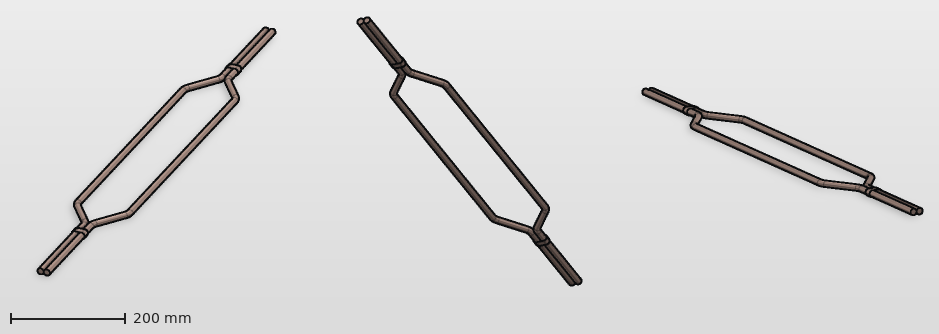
import cadquery as cq
import math

total_length = 1000.0
outer_width = 110.0
rod_diameter = 12.0
inner_bend_y = 300.0
outer_bend_y = 239.0
bend_radius = 20.0

clip_wall = 1.0
clip_length = 14.0
clip_center_y = 340.0
clip_edge_fillet = 0.9

end_x = rod_diameter / 2
spread_x = (outer_width - rod_diameter) / 2
bend_angle = math.atan2(spread_x - end_x, inner_bend_y - outer_bend_y)
clip_height = rod_diameter + 2 * clip_wall


def half_axis_bends():
    """Two bends of the +X, +Y half of a rod axis, from the end inwards.

    Each bend is its start, middle and end point.
    """
    tangent_length = bend_radius * math.tan(bend_angle / 2)
    slope_x = tangent_length * math.sin(bend_angle)
    slope_y = tangent_length * math.cos(bend_angle)
    half_arc_x = bend_radius * (1 - math.cos(bend_angle / 2))
    half_arc_y = bend_radius * math.sin(bend_angle / 2)
    end_straight_y = inner_bend_y + tangent_length
    middle_straight_y = outer_bend_y - tangent_length

    inner_bend = [
        (end_x, end_straight_y),
        (end_x + half_arc_x, end_straight_y - half_arc_y),
        (end_x + slope_x, inner_bend_y - slope_y),
    ]
    outer_bend = [
        (spread_x - slope_x, outer_bend_y + slope_y),
        (spread_x - half_arc_x, middle_straight_y + half_arc_y),
        (spread_x, middle_straight_y),
    ]
    return [inner_bend, outer_bend]


def rod_axis(x_sign):
    """Axis of one rod from its -Y end to its +Y end."""
    bends = half_axis_bends()
    lower_bends = [[(x_sign * x, -y) for x, y in bend] for bend in bends]
    upper_bends = [[(x_sign * x, y) for x, y in reversed(bend)] for bend in reversed(bends)]

    axis = cq.Workplane("XY").moveTo(x_sign * end_x, -total_length / 2)
    for start, middle, end in lower_bends + upper_bends:
        axis = axis.lineTo(*start).threePointArc(middle, end)
    return axis.lineTo(x_sign * end_x, total_length / 2)


def make_rod(x_sign):
    """Round bar swept along its bent axis."""
    section = cq.Workplane("XZ", origin=(x_sign * end_x, -total_length / 2, 0)).circle(rod_diameter / 2)
    return section.sweep(rod_axis(x_sign))


def make_clip(center_y):
    """Loop with flat sides and round ends that fits closely around both rods."""
    plane = cq.Workplane("XZ", origin=(0, center_y, 0))
    rod_spacing = 2 * end_x
    band = plane.slot2D(rod_spacing + clip_height, clip_height).extrude(clip_length / 2, both=True)
    band = band.faces("|Y").edges().fillet(clip_edge_fillet)
    opening = plane.slot2D(rod_spacing + rod_diameter, rod_diameter).extrude(clip_length / 2, both=True)
    return band.cut(opening)


rods = [make_rod(x_sign) for x_sign in (-1, 1)]
clips = [make_clip(y_sign * clip_center_y) for y_sign in (-1, 1)]

result = cq.Compound.makeCompound([body.val() for body in rods + clips])